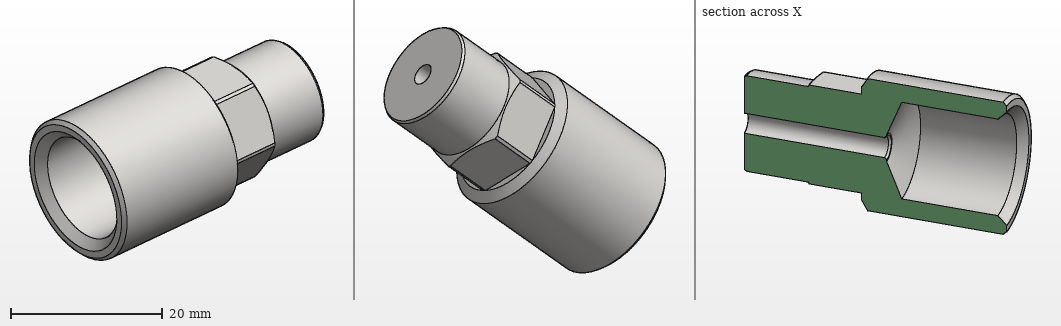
import cadquery as cq
import math

total_length = 37.0
sleeve_diameter = 20.0
sleeve_length = 20.5
hex_length = 7.5
spigot_diameter = 14.5

hex_across_flats = 15.0
hex_corner_diameter = 17.02
hex_turn_degrees = 30

mouth_edge_chamfer = 0.5
shoulder_chamfer_width = (sleeve_diameter - hex_corner_diameter) / 2
spigot_chamfer_width = 0.22
spigot_chamfer_length = 0.37
bevel_angle = math.radians(30)

mouth_diameter = 17.02
mouth_cone_angle = math.radians(45)
socket_diameter = spigot_diameter
socket_depth = 14.8
floor_cone_angle = math.radians(68)
seat_diameter = 4.0
countersink_diameter = 3.55
countersink_angle = math.radians(45)
hole_diameter = 2.95

hex_end = sleeve_length + hex_length


def cone_length(large_diameter, small_diameter, half_angle):
    """Axial length of a cone whose side leans half_angle from the axis."""
    return (large_diameter - small_diameter) / 2 / math.tan(half_angle)


def revolve_profile(points):
    """Turn a closed outline of (radius, Y) points around the Y axis."""
    return cq.Workplane("XY").polyline(points).close().revolve(360, (0, 0, 0), (0, 1, 0))


def make_sleeve():
    radius = sleeve_diameter / 2
    shoulder_length = shoulder_chamfer_width * math.tan(bevel_angle)
    return revolve_profile([
        (0, 0),
        (radius - mouth_edge_chamfer, 0),
        (radius, mouth_edge_chamfer),
        (radius, sleeve_length - shoulder_length),
        (radius - shoulder_chamfer_width, sleeve_length),
        (0, sleeve_length),
    ])


def make_hexagon():
    """Hexagon with flats facing +Z and -Z, trimmed by a beveled cylinder."""
    prism = (
        cq.Workplane("XZ", origin=(0, sleeve_length, 0))
        .polygon(6, hex_across_flats, circumscribed=True)
        .extrude(-hex_length)
        .rotate((0, 0, 0), (0, 1, 0), hex_turn_degrees)
    )
    corner_radius = hex_corner_diameter / 2
    end_radius = spigot_diameter / 2
    bevel_length = (corner_radius - end_radius) * math.tan(bevel_angle)
    trim = revolve_profile([
        (0, sleeve_length),
        (corner_radius, sleeve_length),
        (corner_radius, hex_end - bevel_length),
        (end_radius, hex_end),
        (0, hex_end),
    ])
    return prism.intersect(trim)


def make_spigot():
    radius = spigot_diameter / 2
    return revolve_profile([
        (0, hex_end),
        (radius, hex_end),
        (radius, total_length - spigot_chamfer_length),
        (radius - spigot_chamfer_width, total_length),
        (0, total_length),
    ])


def make_bore():
    """Mouth cone, straight socket, conical floor, flat seat, countersink and through hole."""
    mouth_end = cone_length(mouth_diameter, socket_diameter, mouth_cone_angle)
    seat_depth = socket_depth + cone_length(socket_diameter, seat_diameter, floor_cone_angle)
    countersink_end = seat_depth + cone_length(countersink_diameter, hole_diameter, countersink_angle)
    return revolve_profile([
        (0, 0),
        (mouth_diameter / 2, 0),
        (socket_diameter / 2, mouth_end),
        (socket_diameter / 2, socket_depth),
        (seat_diameter / 2, seat_depth),
        (countersink_diameter / 2, seat_depth),
        (hole_diameter / 2, countersink_end),
        (hole_diameter / 2, total_length),
        (0, total_length),
    ])


result = make_sleeve().union(make_hexagon()).union(make_spigot()).cut(make_bore())